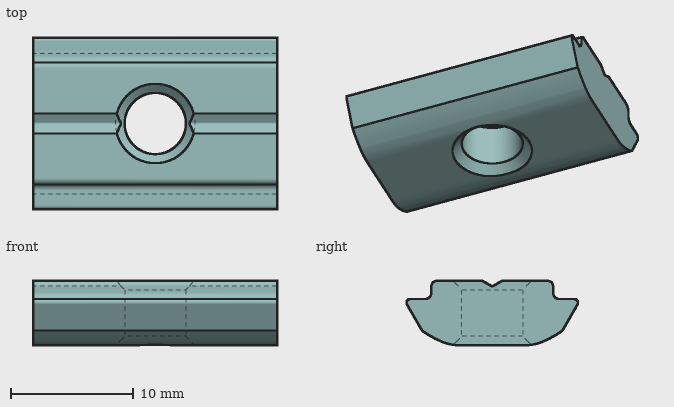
import cadquery as cq
import math

length = 20.0
height = 5.3

neck_half_width = 5.0
neck_height = 1.5
neck_edge_radius = 0.5
neck_root_radius = 0.5
wing_tip_half_width = 7.03
wing_tip_radius = 0.3
flank_angle = math.radians(60)
flank_bottom_z = 1.2
base_half_width = 2.65
heel_radius = 3.8
heel_top_z = 0.28

groove_half_width = 0.82
groove_angle = math.radians(30)
groove_root_radius = 0.2

hole_diameter = 5.0
countersink_diameter = 6.5
countersink_depth = (countersink_diameter - hole_diameter) / 2

shoulder_z = height - neck_height

tip_tangent_length = wing_tip_radius / math.tan(flank_angle / 2)
sharp_tip_half_width = wing_tip_half_width + tip_tangent_length - wing_tip_radius
flank_bottom_half_width = sharp_tip_half_width - (shoulder_z - flank_bottom_z) / math.tan(flank_angle)


def round_edges(body, y, z, radius):
    """Round the pair of lengthwise edges at +y and -y."""
    for side in (-1, 1):
        edge = cq.selectors.NearestToPointSelector((0, side * y, z))
        body = body.edges("|X").edges(edge).fillet(radius)
    return body


def make_body():
    heel_sweep = math.acos(1 - heel_top_z / heel_radius)
    heel_top = (base_half_width + heel_radius * math.sin(heel_sweep), heel_top_z)
    body = (
        cq.Workplane("YZ")
        .lineTo(base_half_width, 0)
        .tangentArcPoint(heel_top, relative=False)
        .tangentArcPoint((flank_bottom_half_width, flank_bottom_z), relative=False)
        .lineTo(sharp_tip_half_width, shoulder_z)
        .lineTo(neck_half_width, shoulder_z)
        .lineTo(neck_half_width, height)
        .lineTo(0, height)
        .mirrorY()
        .extrude(length / 2, both=True)
        .clean()
    )
    body = round_edges(body, neck_half_width, height, neck_edge_radius)
    body = round_edges(body, neck_half_width, shoulder_z, neck_root_radius)
    return round_edges(body, sharp_tip_half_width, shoulder_z, wing_tip_radius)


def make_groove():
    sharp_depth = groove_half_width * math.tan(groove_angle)
    return (
        cq.Workplane("YZ")
        .moveTo(-groove_half_width, height)
        .lineTo(0, height - sharp_depth)
        .lineTo(groove_half_width, height)
        .close()
        .extrude(length / 2, both=True)
        .edges("|X")
        .edges("<Z")
        .fillet(groove_root_radius)
    )


def make_countersunk_hole():
    hole_radius = hole_diameter / 2
    return (
        cq.Workplane("XZ")
        .lineTo(countersink_diameter / 2, 0)
        .lineTo(hole_radius, countersink_depth)
        .lineTo(hole_radius, height - countersink_depth)
        .lineTo(countersink_diameter / 2, height)
        .lineTo(0, height)
        .close()
        .revolve(360, (0, 0), (0, 1))
    )


result = make_body().cut(make_groove()).cut(make_countersunk_hole())